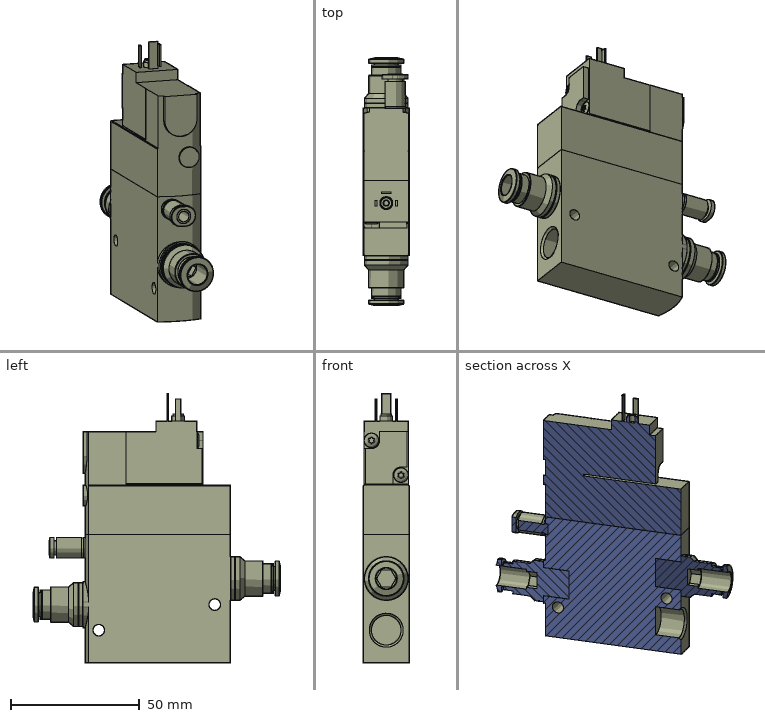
import cadquery as cq
import math


BODY_WIDTH = 18.0
BASE_HEIGHT = 49.7
BODY_HEIGHT = 69.0
BACK_APEX = 56.4
BACK_RADIUS = 29.3
BACK_PAD_FACE = 57.2
TOP_CHAMFER = 0.3

CROSS_HOLE_D = 4.4
LOW_LEVEL = 12.6
MID_LEVEL = 22.6
FRONT_FITTING_Z = 32.7
CROSS_HOLES = [(6.1, MID_LEVEL), (51.1, LOW_LEVEL)]

PORT_D = 11.5
PORT_DEPTH = 10.5
PORT_MOUTH_D = 13.2
REAR_BOSS_D = 18.1

PILOT_X = 3.5
PILOT_D = 8.0
PILOT_BOSS_Z = BODY_HEIGHT - PILOT_D / 2
PILOT_FITTING_Z = 44.6
PILOT_SEAT_Y = 55.4

SOLENOID_TOP = 89.8
ARMATURE_WIDTH = BODY_WIDTH - 2 * TOP_CHAMFER
ARMATURE_FRONT = 40.4
COIL_INSET = 0.1
COIL_WIDTH = ARMATURE_WIDTH - 2 * COIL_INSET
COIL_FRONT = 13.0
COIL_GAP = 0.5
HEAD_BACK = 28.9
HEAD_TOP = 93.8
TAB_WIDTH = 13.2
TAB_LENGTH = 16.3

COVER_FRONT = 10.6
COVER_RIGHT = 8.0
COVER_CHAMFER = 0.5
SCREW_X = 5.7
UPPER_SCREW_Z = 86.3
LOWER_SCREW_Z = 72.8
SCREW_HEAD_D = 5.6
SCREW_HEAD_HEIGHT = 0.8
SCREW_RIM = 0.2
POCKET_RADIUS = 3.1
STAR_POINTS = 6
STAR_OUTER_R = 1.4
STAR_INNER_R = 0.8
STAR_DEPTH = 0.6

CONTACT_Y = 20.3
POST_D = 5.0
POST_HEIGHT = 2.0
POST_COLLAR_D = 4.2
POST_COLLAR_TOP = 2.8
POST_HOLE_D = 2.0
BLADE_THICKNESS = 0.6
EARTH_BLADE_WIDTH = 3.6
EARTH_BLADE_Y = 24.3
EARTH_BLADE_TOP = 104.5
SIDE_BLADE_WIDTH = 2.1
SIDE_BLADE_X = 4.0
SIDE_BLADE_TOP = 102.4

EDGE_BREAK = 0.2

FITTING_COLLAR_D = 17.0
FITTING_GROOVE_D = 16.4
FITTING_GROOVE_START = 1.7
FITTING_GROOVE_END = 2.0
FITTING_COLLAR_END = 3.8
FITTING_SLEEVE_D = 13.8
FITTING_CONE_END = 5.6
FITTING_SLEEVE_END = 12.7
FITTING_TUBE_D = 11.5
FITTING_TUBE_END = 16.7
RING_GROOVE_DEPTH = 0.2
RING_GROOVE_START = 15.8
RING_GROOVE_END = 16.1
FITTING_NECK_D = 9.4
FITTING_FLANGE_START = 17.3
FITTING_FLANGE_D = 13.7
FITTING_LENGTH = 19.5
FACE_BEVEL = 0.5
FITTING_MOUTH_D = 8.6
FITTING_BORE_D = 8.0
FITTING_BORE_DEPTH = 12.5
HEX_ACROSS_CORNERS = 7.5
HEX_DEPTH = 4.2

PILOT_GROOVE_START = 57.0
PILOT_GROOVE_END = 57.8
PILOT_GROOVE_D = 7.7
PILOT_SLEEVE_END = 67.5
PILOT_NECK_D = 5.6
PILOT_RING_START = 68.4
PILOT_RING_END = 70.2
PILOT_RING_WIDTH = 10.0
PILOT_END = 70.4
PILOT_BORE_D = 4.2
PILOT_BORE_DEPTH = 10.5


def box_between(x0, x1, y0, y1, z0, z1):
    return cq.Workplane("XY").box(x1 - x0, y1 - y0, z1 - z0, centered=False).translate((x0, y0, z0))


def y_cylinder(diameter, x, z, y0, y1):
    """Cylinder along Y between two Y positions."""
    return cq.Workplane("XZ", origin=(x, y0, z)).circle(diameter / 2).extrude(y0 - y1)


def y_revolve(profile):
    """Solid of revolution about Y from (radius, Y) points."""
    return cq.Workplane("XY").polyline(profile).close().revolve(360, (0, 0, 0), (0, 1, 0))


def bulged_block(width, y_front, z0, z1):
    """Block with a flat front and the bulged back face."""
    half = width / 2
    y_edge = BACK_APEX - BACK_RADIUS + math.sqrt(BACK_RADIUS**2 - half**2)
    return (
        cq.Workplane("XY", origin=(0, 0, z0))
        .moveTo(-half, y_front)
        .lineTo(half, y_front)
        .lineTo(half, y_edge)
        .threePointArc((0, BACK_APEX), (-half, y_edge))
        .close()
        .extrude(z1 - z0)
    )


def open_port():
    """Countersunk blind port in the front face."""
    mouth = (PORT_MOUTH_D - PORT_D) / 2
    return y_revolve(
        [(0, 0), (PORT_MOUTH_D / 2, 0), (PORT_D / 2, mouth), (PORT_D / 2, PORT_DEPTH), (0, PORT_DEPTH)]
    ).translate((0, 0, LOW_LEVEL))


def make_base():
    """Lower block with the fitting ports, the open port and the cross holes."""
    base = bulged_block(BODY_WIDTH, 0, 0, BASE_HEIGHT)

    trim = box_between(-BODY_WIDTH / 2, BODY_WIDTH / 2, 0, BACK_PAD_FACE, 0, BASE_HEIGHT)
    rear_boss = y_cylinder(REAR_BOSS_D, 0, MID_LEVEL, BACK_APEX / 2, BACK_PAD_FACE)
    base = base.union(rear_boss.intersect(trim))

    base = base.cut(open_port())
    base = base.cut(y_cylinder(PORT_D, 0, FRONT_FITTING_Z, 0, PORT_DEPTH))
    base = base.cut(y_cylinder(PORT_D, 0, MID_LEVEL, BACK_PAD_FACE - PORT_DEPTH, BACK_PAD_FACE))
    base = base.cut(y_cylinder(PILOT_D, PILOT_X, PILOT_FITTING_Z, PILOT_SEAT_Y, BACK_PAD_FACE))

    cross_holes = cq.Workplane("YZ").pushPoints(CROSS_HOLES).circle(CROSS_HOLE_D / 2)
    return base.cut(cross_holes.extrude(BODY_WIDTH, both=True))


def back_tab():
    """Flat pad with a semicircular lower end on the back of the armature housing."""
    half = TAB_WIDTH / 2
    arc_z = SOLENOID_TOP - TAB_LENGTH + half
    inside = ARMATURE_FRONT + half
    straight = box_between(-half, half, inside, BACK_PAD_FACE, arc_z, SOLENOID_TOP)
    return straight.union(y_cylinder(TAB_WIDTH, 0, arc_z, inside, BACK_PAD_FACE))


def screw_pocket(x, z, side_x, end_z):
    """Pocket round a screw, open towards the side at side_x and the end at end_z."""
    inner_x = x - math.copysign(POCKET_RADIUS, side_x)
    inner_z = z - math.copysign(POCKET_RADIUS, end_z - z)

    def open_box(xa, za):
        return box_between(
            min(xa, side_x), max(xa, side_x), COVER_FRONT, COIL_FRONT, min(za, end_z), max(za, end_z)
        )

    pocket = y_cylinder(2 * POCKET_RADIUS, x, z, COVER_FRONT, COIL_FRONT)
    return pocket.union(open_box(inner_x, z)).union(open_box(x, inner_z))


def cover_plate(bottom):
    left = -COIL_WIDTH / 2
    plate = box_between(left, COVER_RIGHT, COVER_FRONT, COIL_FRONT, bottom, SOLENOID_TOP)
    plate = plate.faces("<Y").edges("<X").chamfer(COVER_CHAMFER)
    plate = plate.cut(screw_pocket(-SCREW_X, UPPER_SCREW_Z, left, SOLENOID_TOP))
    return plate.cut(screw_pocket(SCREW_X, LOWER_SCREW_Z, -left, bottom))


def screw_head(x, z):
    """Domed head with a six-pointed star recess."""
    radius = SCREW_HEAD_D / 2
    shoulder = (radius + STAR_OUTER_R) / 2 + SCREW_RIM
    head = (
        cq.Workplane("XY")
        .lineTo(radius, 0)
        .lineTo(radius, -SCREW_RIM)
        .threePointArc((shoulder, -SCREW_HEAD_HEIGHT + SCREW_RIM), (STAR_OUTER_R, -SCREW_HEAD_HEIGHT))
        .lineTo(0, -SCREW_HEAD_HEIGHT)
        .close()
        .revolve(360, (0, 0, 0), (0, 1, 0))
    )
    star = []
    step = math.pi / STAR_POINTS
    for i in range(2 * STAR_POINTS):
        star_radius = STAR_INNER_R if i % 2 else STAR_OUTER_R
        angle = step * (i + 1)
        star.append((star_radius * math.cos(angle), star_radius * math.sin(angle)))
    recess = cq.Workplane("XZ", origin=(0, STAR_DEPTH - SCREW_HEAD_HEIGHT, 0)).polyline(star).close()
    head = head.cut(recess.extrude(STAR_DEPTH))
    return head.translate((x, COIL_FRONT, z))


def blade(x, y, x_size, y_size, top):
    return box_between(x - x_size / 2, x + x_size / 2, y - y_size / 2, y + y_size / 2, HEAD_TOP, top)


def centre_post():
    post = cq.Workplane("XY", origin=(0, CONTACT_Y, HEAD_TOP)).circle(POST_D / 2).extrude(POST_HEIGHT)
    post = post.faces(">Z").workplane().circle(POST_COLLAR_D / 2).extrude(POST_COLLAR_TOP - POST_HEIGHT)
    mouth_d = POST_HOLE_D + 2 * EDGE_BREAK
    return post.faces(">Z").workplane().cskHole(POST_HOLE_D, mouth_d, 90, POST_COLLAR_TOP)


def make_valve():
    """Valve block that carries the solenoid, its screws and its contacts."""
    half = COIL_WIDTH / 2
    coil_bottom = BODY_HEIGHT + COIL_GAP

    valve = bulged_block(BODY_WIDTH, 0, BASE_HEIGHT, BODY_HEIGHT)
    valve = valve.faces(">Z").edges("|Y").chamfer(TOP_CHAMFER)
    valve = valve.union(y_cylinder(PILOT_D, -PILOT_X, PILOT_BOSS_Z, PILOT_SEAT_Y, BACK_PAD_FACE))
    valve = valve.union(bulged_block(ARMATURE_WIDTH, ARMATURE_FRONT, BODY_HEIGHT, SOLENOID_TOP))
    valve = valve.union(back_tab())

    valve = valve.union(box_between(-half, half, COIL_FRONT, ARMATURE_FRONT, coil_bottom, SOLENOID_TOP))
    valve = valve.union(box_between(-half, half, COIL_FRONT, HEAD_BACK, coil_bottom, HEAD_TOP))
    valve = valve.union(cover_plate(coil_bottom))
    valve = valve.union(screw_head(-SCREW_X, UPPER_SCREW_Z))
    valve = valve.union(screw_head(SCREW_X, LOWER_SCREW_Z))

    valve = valve.union(centre_post())
    valve = valve.union(blade(0, EARTH_BLADE_Y, EARTH_BLADE_WIDTH, BLADE_THICKNESS, EARTH_BLADE_TOP))
    for x in (-SIDE_BLADE_X, SIDE_BLADE_X):
        valve = valve.union(blade(x, CONTACT_Y, BLADE_THICKNESS, SIDE_BLADE_WIDTH, SIDE_BLADE_TOP))
    return valve


def make_main_fitting():
    """Push-in fitting on the Y axis, seat at Y = 0, tube end towards +Y."""
    collar = FITTING_COLLAR_D / 2
    groove = FITTING_GROOVE_D / 2
    sleeve = FITTING_SLEEVE_D / 2
    tube = FITTING_TUBE_D / 2
    ring_groove = tube - RING_GROOVE_DEPTH
    neck = FITTING_NECK_D / 2
    flange = FITTING_FLANGE_D / 2
    mouth = FITTING_MOUTH_D / 2
    bore = FITTING_BORE_D / 2
    face_start = FITTING_LENGTH - FACE_BEVEL
    bore_end = FITTING_LENGTH - FITTING_BORE_DEPTH
    fitting = y_revolve([
        (0, -PORT_DEPTH),
        (PORT_D / 2, -PORT_DEPTH),
        (PORT_D / 2, 0),
        (collar - EDGE_BREAK, 0),
        (collar, EDGE_BREAK),
        (collar, FITTING_GROOVE_START),
        (groove, FITTING_GROOVE_START),
        (groove, FITTING_GROOVE_END),
        (collar, FITTING_GROOVE_END),
        (collar, FITTING_COLLAR_END),
        (sleeve, FITTING_CONE_END),
        (sleeve, FITTING_SLEEVE_END - EDGE_BREAK),
        (sleeve - EDGE_BREAK, FITTING_SLEEVE_END),
        (tube, FITTING_SLEEVE_END),
        (tube, RING_GROOVE_START),
        (ring_groove, RING_GROOVE_START),
        (ring_groove, RING_GROOVE_END),
        (tube, RING_GROOVE_END),
        (tube, FITTING_TUBE_END),
        (neck, FITTING_TUBE_END),
        (neck, FITTING_FLANGE_START),
        (flange - EDGE_BREAK, FITTING_FLANGE_START),
        (flange, FITTING_FLANGE_START + EDGE_BREAK),
        (flange, face_start - EDGE_BREAK),
        (flange - EDGE_BREAK, face_start),
        (mouth, FITTING_LENGTH),
        (bore, FITTING_LENGTH - (mouth - bore)),
        (bore, bore_end),
        (0, bore_end),
    ])
    hex_socket = cq.Workplane("XZ", origin=(0, bore_end, 0)).polygon(6, HEX_ACROSS_CORNERS)
    return fitting.cut(hex_socket.extrude(HEX_DEPTH))


def place_main_fittings():
    fittings = []
    for turn, y, z in ((180, 0, FRONT_FITTING_Z), (0, BACK_PAD_FACE, MID_LEVEL)):
        fitting = make_main_fitting().rotate((0, 0, 0), (0, 0, 1), turn)
        fittings.append(fitting.translate((0, y, z)).val())
    return fittings


def make_pilot_fitting():
    """Small push-in fitting with an oblong release ring."""
    sleeve = PILOT_D / 2
    groove = PILOT_GROOVE_D / 2
    neck = PILOT_NECK_D / 2
    fitting = y_revolve([
        (0, PILOT_SEAT_Y),
        (sleeve, PILOT_SEAT_Y),
        (sleeve, PILOT_GROOVE_START),
        (groove, PILOT_GROOVE_START),
        (groove, PILOT_GROOVE_END),
        (sleeve, PILOT_GROOVE_END),
        (sleeve, PILOT_SLEEVE_END),
        (neck, PILOT_SLEEVE_END),
        (neck, PILOT_END),
        (0, PILOT_END),
    ])
    ring = cq.Workplane("XZ", origin=(0, PILOT_RING_START, 0)).slot2D(PILOT_RING_WIDTH, PILOT_D)
    ring = ring.extrude(PILOT_RING_START - PILOT_RING_END).faces(">Y").chamfer(EDGE_BREAK)
    fitting = fitting.union(ring)
    fitting = fitting.cut(y_cylinder(PILOT_BORE_D, 0, 0, PILOT_END - PILOT_BORE_DEPTH, PILOT_END))
    return fitting.translate((PILOT_X, 0, PILOT_FITTING_Z))


base = make_base()
valve = make_valve()
main_fittings = place_main_fittings()
pilot_fitting = make_pilot_fitting()

result = cq.Compound.makeCompound([base.val(), valve.val(), *main_fittings, pilot_fitting.val()])